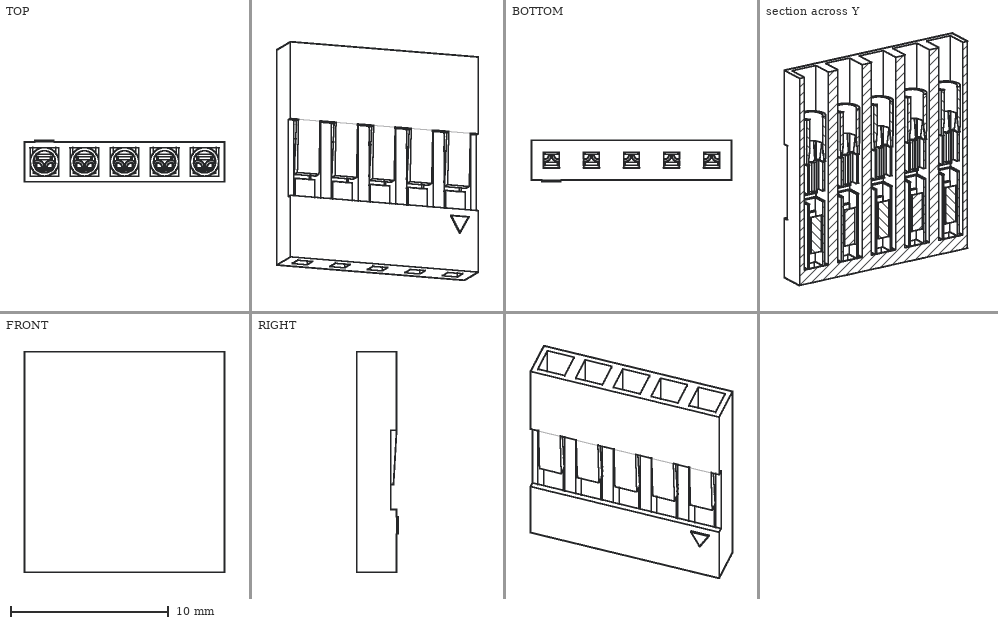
import cadquery as cq
import math


PIN_COUNT = 5
WIDTH = 12.7
HEIGHT = 14.0
PITCH = WIDTH / PIN_COUNT
DEPTH = PITCH
BACK = DEPTH / 2

CAVITY = 1.8
CAVITY_FLOOR = 1.0
MATING_HOLE = 1.01

WINDOW_BOTTOM = 4.0
WINDOW_TOP = 9.0
TONGUE_TIP = 5.57
TONGUE_WIDTH = 1.45
TONGUE_TAPER = 0.2
TONGUE_REACH = 0.42

MARK_WIDTH = 1.2
MARK_TOP = 3.53
MARK_TIP = 2.44
MARK_RAISE = 0.101

SHEET = 0.17
OUTER_HALF = 0.66
INNER_HALF = OUTER_HALF - SHEET
FLOOR_OUTER = -0.73
FLOOR_INNER = FLOOR_OUTER + SHEET

BOX_HEIGHT = 4.34
BOX_TOP = CAVITY_FLOOR + BOX_HEIGHT
ROOF = 0.49
CONTACT_WIDTH = 0.8
UPPER_CONTACT_DROP = 0.2
CONTACT_LENGTH = 2.52
CONTACT_TOP = BOX_TOP - 0.84
LOWER_CONTACT_RISE = 0.18
LOWER_CONTACT_STEP = 0.08
CREST_SLOPE_LENGTH = 0.021
END_SLOPE_LENGTH = 0.1

CRIMP_BOTTOM = BOX_TOP + 0.7
CRIMP_TOP = CRIMP_BOTTOM + 1.96
WING_TOP = 0.08
CURL_RADIUS = 0.38
CURL_GAP = 0.03
CURL_CENTER_X = CURL_GAP / 2 + CURL_RADIUS
CURL_CENTER_Y = WING_TOP - CURL_RADIUS

RING_OUTER = CAVITY
RING_INNER = 1.4
RING_BOTTOM = CRIMP_TOP + 1.12
RING_HEIGHT = 1.96
TROUGH_RIM = -0.08
TROUGH_OUTER_HALF = 0.71
TROUGH_INNER_HALF = TROUGH_OUTER_HALF - SHEET
TROUGH_CLEARANCE = 0.14


def block(x_min, x_max, y_min, y_max, z_min, z_max):
    """Box between the given limits."""
    size = (x_max - x_min, y_max - y_min, z_max - z_min)
    return cq.Workplane("XY").box(*size, centered=False).translate((x_min, y_min, z_min))


def pin_x(index):
    return (index - (PIN_COUNT - 1) / 2) * PITCH



def make_cavity():
    """Square cavity, open at the top, with the mating hole below it."""
    half = CAVITY / 2
    hole = MATING_HOLE / 2
    cavity = block(-half, half, -half, half, CAVITY_FLOOR, HEIGHT)
    return cavity.union(block(-hole, hole, -hole, hole, 0, CAVITY_FLOOR))


def make_tongue():
    """Latch tongue that leans into the cavity and gets thicker towards its tip."""
    root = CAVITY / 2
    return (
        cq.Workplane("YZ")
        .polyline([
            (root, WINDOW_TOP),
            (BACK, WINDOW_TOP),
            (BACK - TONGUE_TAPER, TONGUE_TIP),
            (root - TONGUE_REACH, TONGUE_TIP),
        ])
        .close()
        .extrude(TONGUE_WIDTH / 2, both=True)
    )


def make_pin_mark():
    """Raised triangle with its point down."""
    return (
        cq.Workplane("XZ", origin=(pin_x(0), BACK, 0))
        .polyline([(-MARK_WIDTH / 2, MARK_TOP), (MARK_WIDTH / 2, MARK_TOP), (0, MARK_TIP)])
        .close()
        .extrude(-MARK_RAISE)
    )


def make_housing():
    body = block(-WIDTH / 2, WIDTH / 2, -BACK, BACK, 0, HEIGHT)
    body = body.cut(block(-WIDTH / 2, WIDTH / 2, CAVITY / 2, BACK, WINDOW_BOTTOM, WINDOW_TOP))
    for index in range(PIN_COUNT):
        body = body.cut(make_cavity().translate((pin_x(index), 0, 0)))
        body = body.union(make_tongue().translate((pin_x(index), 0, 0)))
    return body.union(make_pin_mark())



def make_contact_box():
    """Rectangular tube, open at both ends."""
    outer = block(-OUTER_HALF, OUTER_HALF, FLOOR_OUTER, ROOF, CAVITY_FLOOR, BOX_TOP)
    inner = block(-INNER_HALF, INNER_HALF, FLOOR_INNER, ROOF - SHEET, CAVITY_FLOOR, BOX_TOP)
    return outer.cut(inner)


def make_contacts():
    """Raised contacts on the roof and the floor inside the box."""
    half = CONTACT_WIDTH / 2
    bottom = CONTACT_TOP - CONTACT_LENGTH
    ceiling = ROOF - SHEET
    upper = block(-half, half, ceiling - UPPER_CONTACT_DROP, ceiling, bottom, CONTACT_TOP)
    crest = FLOOR_INNER + LOWER_CONTACT_RISE
    slope_break = CONTACT_TOP - END_SLOPE_LENGTH
    lower = (
        cq.Workplane("YZ")
        .polyline([
            (FLOOR_INNER, bottom),
            (crest, bottom),
            (crest, slope_break - CREST_SLOPE_LENGTH),
            (FLOOR_INNER + LOWER_CONTACT_STEP, slope_break),
            (FLOOR_INNER, CONTACT_TOP),
        ])
        .close()
        .extrude(half, both=True)
    )
    return upper.union(lower)


def make_floor():
    """Strip that joins the contact box to the trough."""
    return block(-OUTER_HALF, OUTER_HALF, FLOOR_OUTER, FLOOR_INNER, BOX_TOP, CRIMP_TOP)


def make_crimp_wing(side):
    """One crimp wing: a straight wall, a bend inwards and a quarter-circle curl back down."""
    inner_radius = CURL_RADIUS - SHEET
    ceiling = WING_TOP - SHEET
    diagonal = math.sqrt(0.5)

    def at(x, y):
        return (side * x, y)

    def on_curl(radius):
        return at(CURL_CENTER_X - radius * diagonal, CURL_CENTER_Y + radius * diagonal)

    bend_middle = at(INNER_HALF + SHEET * diagonal, ceiling + SHEET * diagonal)
    return (
        cq.Workplane("XY", origin=(0, 0, CRIMP_BOTTOM))
        .moveTo(*at(OUTER_HALF, FLOOR_INNER))
        .lineTo(*at(OUTER_HALF, ceiling))
        .threePointArc(bend_middle, at(INNER_HALF, WING_TOP))
        .lineTo(*at(CURL_CENTER_X, WING_TOP))
        .threePointArc(on_curl(CURL_RADIUS), at(CURL_CENTER_X - CURL_RADIUS, CURL_CENTER_Y))
        .lineTo(*at(CURL_CENTER_X - inner_radius, CURL_CENTER_Y))
        .threePointArc(on_curl(inner_radius), at(CURL_CENTER_X, ceiling))
        .lineTo(*at(INNER_HALF, ceiling))
        .lineTo(*at(INNER_HALF, FLOOR_INNER))
        .close()
        .extrude(CRIMP_TOP - CRIMP_BOTTOM)
    )


def square_to_round(half, floor, radius, rim):
    """Solid below Y = rim that blends from a square bottom to a round one."""
    def on_circle(angle):
        return (radius * math.cos(angle), radius * math.sin(angle))

    rim_angle = math.asin(rim / radius)
    corner_angle = -math.pi / 4
    side_angle = (rim_angle + corner_angle) / 2
    return (
        cq.Workplane("XY", origin=(0, 0, CRIMP_TOP))
        .polyline([(half, rim), (half, floor), (-half, floor), (-half, rim)])
        .close()
        .workplane(offset=RING_BOTTOM - CRIMP_TOP)
        .moveTo(*on_circle(rim_angle))
        .threePointArc(on_circle(side_angle), on_circle(corner_angle))
        .threePointArc((0, -radius), on_circle(math.pi - corner_angle))
        .threePointArc(on_circle(math.pi - side_angle), on_circle(math.pi - rim_angle))
        .close()
        .loft(ruled=True)
    )


def make_trough():
    outer = square_to_round(TROUGH_OUTER_HALF, FLOOR_OUTER, RING_OUTER / 2, TROUGH_RIM)
    cutter_rim = TROUGH_RIM + TROUGH_CLEARANCE
    inner = square_to_round(TROUGH_INNER_HALF, FLOOR_INNER, RING_INNER / 2, cutter_rim)
    return outer.cut(inner)


def make_ring():
    return (
        cq.Workplane("XY", origin=(0, 0, RING_BOTTOM))
        .circle(RING_OUTER / 2)
        .circle(RING_INNER / 2)
        .extrude(RING_HEIGHT)
    )


def make_terminal():
    terminal = make_contact_box().union(make_contacts()).union(make_floor())
    for side in (-1, 1):
        terminal = terminal.union(make_crimp_wing(side))
    return terminal.union(make_trough()).union(make_ring()).solids()


housing = make_housing().solids()
terminals = [make_terminal().translate((pin_x(index), 0, 0)) for index in range(PIN_COUNT)]

result = cq.Compound.makeCompound([housing.val(), *[terminal.val() for terminal in terminals]])